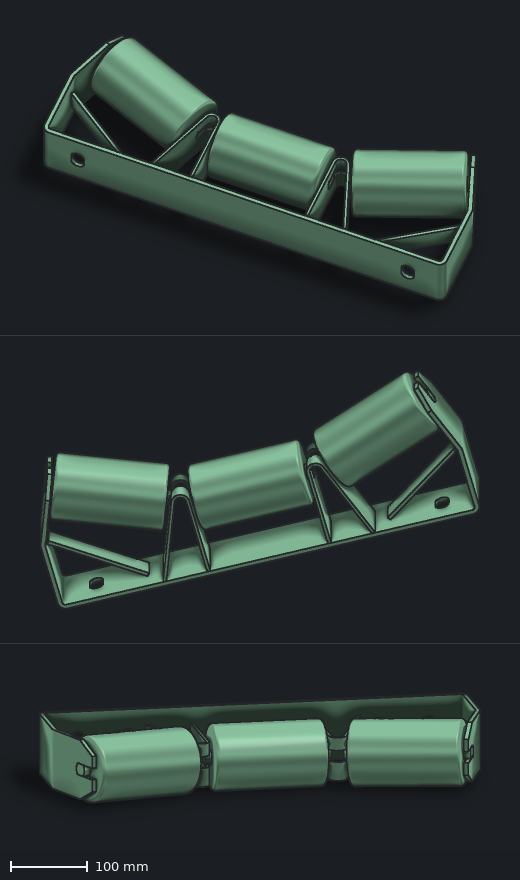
import cadquery as cq
import math

frame_length = 570.0
frame_height = 80.0
frame_thickness = 6.0
corner_radius = 11.0
side_bend_radius = 14.0
side_bend_start = 95.0
tip_reach = 192.0
tip_chamfer_length = 31.0
tip_chamfer_height = 16.0
mount_slot_width = 18.0
mount_slot_height = 27.5
mount_slot_x = 233.5

roller_diameter = 89.0
roller_length = 150.0
roller_fillet = 5.0
shaft_diameter = 20.0
shaft_flat_width = 15.5
shoulder_length = 3.0
support_gap = 4.5
lean_angle = 20.0
dip_angle = 2.4
middle_roller_y = 100.0
middle_roller_z = -7.0
side_roller_x = 181.0
side_roller_y = 135.0
side_roller_z = middle_roller_z / 2

bracket_thickness = 4.3
bracket_height = 58.0
bracket_bend_radius = 12.0

brace_thickness = 5.0
brace_height = 28.5
brace_side_y = 86.0
brace_back_x = 164.0

lean = math.radians(lean_angle)
half_length = frame_length / 2
slot_reach = 114.0
support_offset = roller_length / 2 + support_gap
bracket_face_offset = support_offset + bracket_thickness


def along_lean(point, forward, inward):
    """Move along a left-hand leaning plate, then square to it toward the middle."""
    return (
        point[0] + forward * math.sin(lean) + inward * math.cos(lean),
        point[1] + forward * math.cos(lean) - inward * math.sin(lean),
    )


def mirrored(shape):
    """The matching shape on the right."""
    return shape.mirror("YZ")


def place_middle(shape):
    """Move a shape built along X to the middle roller."""
    return shape.translate((0, middle_roller_y, middle_roller_z))


def place_left(shape):
    """Dip and turn a shape built along X, then move it to the left roller."""
    dipped = shape.rotate((0, 0, 0), (0, 1, 0), dip_angle)
    turned = dipped.rotate((0, 0, 0), (0, 0, 1), -lean_angle)
    return turned.translate((-side_roller_x, side_roller_y, side_roller_z))


def make_roller(shaft_start, shaft_end):
    """Roller along X, centered on the origin, with a shaft that is flatted at both ends."""
    drum = cq.Workplane("YZ").cylinder(roller_length, roller_diameter / 2)
    drum = drum.edges().fillet(roller_fillet)

    shaft = (
        cq.Workplane("YZ", origin=(shaft_start, 0, 0))
        .circle(shaft_diameter / 2)
        .extrude(shaft_end - shaft_start)
    )
    flat_body = cq.Workplane("XY").box(2 * frame_length, shaft_diameter, shaft_flat_width)
    round_length = roller_length + 2 * shoulder_length
    round_body = cq.Workplane("XY").box(round_length, shaft_diameter, shaft_diameter)
    return drum.union(shaft.intersect(flat_body.union(round_body)))


def make_shaft_slot(start, depth):
    """Cutter for one shaft end: round at the bottom, open toward +Y."""
    origin = (start, 0, 0)
    seat = cq.Workplane("YZ", origin=origin).circle(shaft_diameter / 2).extrude(depth)
    channel = (
        cq.Workplane("YZ", origin=origin)
        .rect(slot_reach, shaft_diameter)
        .extrude(depth)
        .translate((0, slot_reach / 2, 0))
    )
    flat_body = cq.Workplane("XY").box(2 * frame_length, 2 * slot_reach, shaft_flat_width)
    return seat.union(channel).intersect(flat_body)


bend_end = (
    -half_length + side_bend_radius * (1 - math.cos(lean)),
    side_bend_start + side_bend_radius * math.sin(lean),
)
side_length = (tip_reach - bend_end[1]) / math.cos(lean)
tip = along_lean(bend_end, side_length, 0)

side_face_offset = (
    (-side_roller_x - bend_end[0]) * math.cos(lean) - (side_roller_y - bend_end[1]) * math.sin(lean)
)


def arc_middle(center, radius, degrees):
    """Point of an arc at the given direction from its center."""
    angle = math.radians(degrees)
    return (center[0] + radius * math.cos(angle), center[1] + radius * math.sin(angle))


def make_frame_half():
    """Left half of the bent strip, with its tip corners, mounting slot and shaft slot."""
    inner_tip = along_lean(tip, 0, frame_thickness)
    inner_bend_end = along_lean(bend_end, 0, frame_thickness)
    bend_center = (-half_length + side_bend_radius, side_bend_start)
    corner_center = (-half_length + corner_radius, corner_radius)
    bend_mid_angle = 180 - lean_angle / 2
    corner_mid_angle = 180 + 45
    half = (
        cq.Workplane("XY", origin=(0, 0, -frame_height / 2))
        .moveTo(0, 0)
        .lineTo(corner_center[0], 0)
        .threePointArc(
            arc_middle(corner_center, corner_radius, corner_mid_angle),
            (-half_length, corner_radius),
        )
        .lineTo(-half_length, side_bend_start)
        .threePointArc(arc_middle(bend_center, side_bend_radius, bend_mid_angle), bend_end)
        .lineTo(*tip)
        .lineTo(*inner_tip)
        .lineTo(*inner_bend_end)
        .threePointArc(
            arc_middle(bend_center, side_bend_radius - frame_thickness, bend_mid_angle),
            (-half_length + frame_thickness, side_bend_start),
        )
        .lineTo(-half_length + frame_thickness, corner_radius)
        .threePointArc(
            arc_middle(corner_center, corner_radius - frame_thickness, corner_mid_angle),
            (corner_center[0], frame_thickness),
        )
        .lineTo(0, frame_thickness)
        .close()
        .extrude(frame_height)
    )

    plate = cq.Plane(
        origin=(tip[0], tip[1], 0),
        xDir=(math.sin(lean), math.cos(lean), 0),
        normal=(math.cos(lean), -math.sin(lean), 0),
    )
    for edge in (frame_height / 2, -frame_height / 2):
        chamfer_end = edge - math.copysign(tip_chamfer_height, edge)
        corner = (
            cq.Workplane(plate)
            .polyline([(0, edge), (-tip_chamfer_length, edge), (0, chamfer_end)])
            .close()
            .extrude(2 * frame_thickness, both=True)
        )
        half = half.cut(corner)

    mount_slot = (
        cq.Workplane("XZ", origin=(-mount_slot_x, 0, 0))
        .slot2D(mount_slot_height, mount_slot_width, 90)
        .extrude(frame_thickness, both=True)
    )
    slot_start = -side_face_offset - frame_thickness / 2
    shaft_slot = place_left(make_shaft_slot(slot_start, 2 * frame_thickness))
    return half.cut(mount_slot).cut(shaft_slot)


def make_frame():
    """The whole bent strip, symmetric about X = 0."""
    half = make_frame_half()
    return half.union(mirrored(half))


def make_bracket():
    """Left bracket: an upright leg for the middle roller folded over into a leaning leg."""
    upright_x = -support_offset
    leg_point = along_lean((-side_roller_x, side_roller_y), 0, support_offset)
    fold_x = upright_x - bracket_bend_radius
    fold_y = leg_point[1] + (
        (fold_x - leg_point[0]) * math.cos(lean) - bracket_bend_radius
    ) / math.sin(lean)
    fold_center = (fold_x, fold_y)
    inner_radius = bracket_bend_radius - bracket_thickness
    fold_mid_angle = (180 - lean_angle) / 2
    outer_start = along_lean(fold_center, 0, -bracket_bend_radius)
    inner_start = along_lean(fold_center, 0, -inner_radius)

    def foot(point):
        """Follow the leaning leg down to the inside of the back."""
        return (point[0] - (point[1] - frame_thickness) * math.tan(lean), frame_thickness)

    bracket = (
        cq.Workplane("XY", origin=(0, 0, -frame_height / 2))
        .moveTo(*foot(outer_start))
        .lineTo(*outer_start)
        .threePointArc(
            arc_middle(fold_center, bracket_bend_radius, fold_mid_angle),
            (upright_x, fold_y),
        )
        .lineTo(upright_x, frame_thickness)
        .lineTo(upright_x - bracket_thickness, frame_thickness)
        .lineTo(upright_x - bracket_thickness, fold_y)
        .threePointArc(arc_middle(fold_center, inner_radius, fold_mid_angle), inner_start)
        .lineTo(*foot(inner_start))
        .close()
        .extrude(bracket_height)
    )
    slot_depth = bracket_bend_radius + support_gap / 2
    side_slot = place_left(make_shaft_slot(support_offset - support_gap / 2, slot_depth))
    middle_slot = place_middle(make_shaft_slot(-support_offset - bracket_bend_radius, slot_depth))
    return bracket.cut(side_slot).cut(middle_slot)


def make_brace():
    """Left brace: a flat bar whose lower corners touch the side and the back."""
    side_point = (-half_length + frame_thickness, brace_side_y)
    back_point = (-brace_back_x, frame_thickness)
    run = back_point[0] - side_point[0]
    drop = side_point[1] - back_point[1]
    return (
        cq.Workplane("XY")
        .rect(math.hypot(run, drop), brace_thickness)
        .extrude(brace_height / 2, both=True)
        .translate((math.hypot(run, drop) / 2, brace_thickness / 2, 0))
        .rotate((0, 0, 0), (0, 0, 1), -math.degrees(math.atan2(drop, run)))
        .translate((side_point[0], side_point[1], 0))
    )


frame = make_frame()
middle_roller = place_middle(make_roller(-bracket_face_offset, bracket_face_offset))
left_roller = place_left(make_roller(-side_face_offset, bracket_face_offset))
left_bracket = make_bracket()
left_brace = make_brace()

bodies = [frame.solids().val(), middle_roller.solids().val()]
for left_body in (left_roller, left_bracket, left_brace):
    bodies.append(left_body.solids().val())
    bodies.append(mirrored(left_body).solids().val())

result = cq.Compound.makeCompound(bodies)